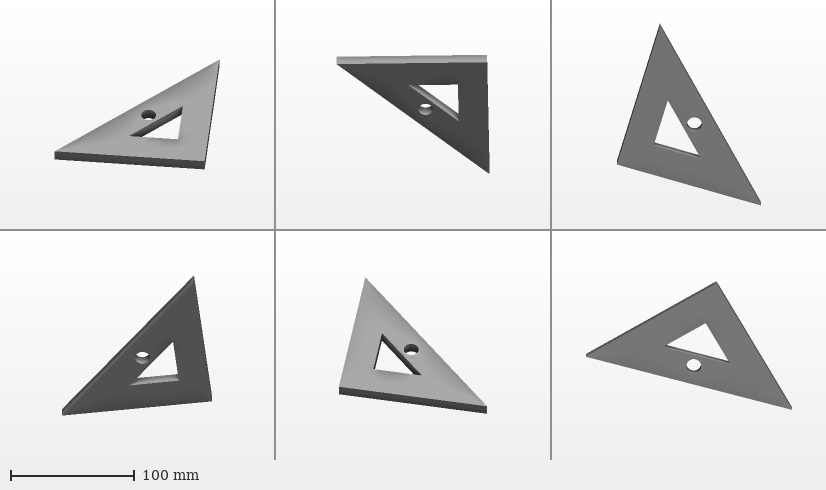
import cadquery as cq
import math

long_edge = 172.43
thickness = 9.0
frame_width = 24.0
hole_diameter = 12.0
hole_from_long_edge = 14.8

corner_reach = long_edge / 2
corner_setback = frame_width * math.sqrt(2)
window_reach = corner_reach - frame_width - corner_setback


def right_triangle_plate(edge_x, reach):
    """Plate whose long edge lies at edge_x, with its square corner reach away in +X."""
    return (
        cq.Workplane("XY")
        .moveTo(edge_x, -reach)
        .lineTo(edge_x + reach, 0)
        .lineTo(edge_x, reach)
        .close()
        .extrude(thickness)
    )


body = right_triangle_plate(0, corner_reach)

window = right_triangle_plate(frame_width, window_reach)

hole = cq.Workplane("XY").center(hole_from_long_edge, 0).circle(hole_diameter / 2).extrude(thickness)

result = body.cut(window).cut(hole)